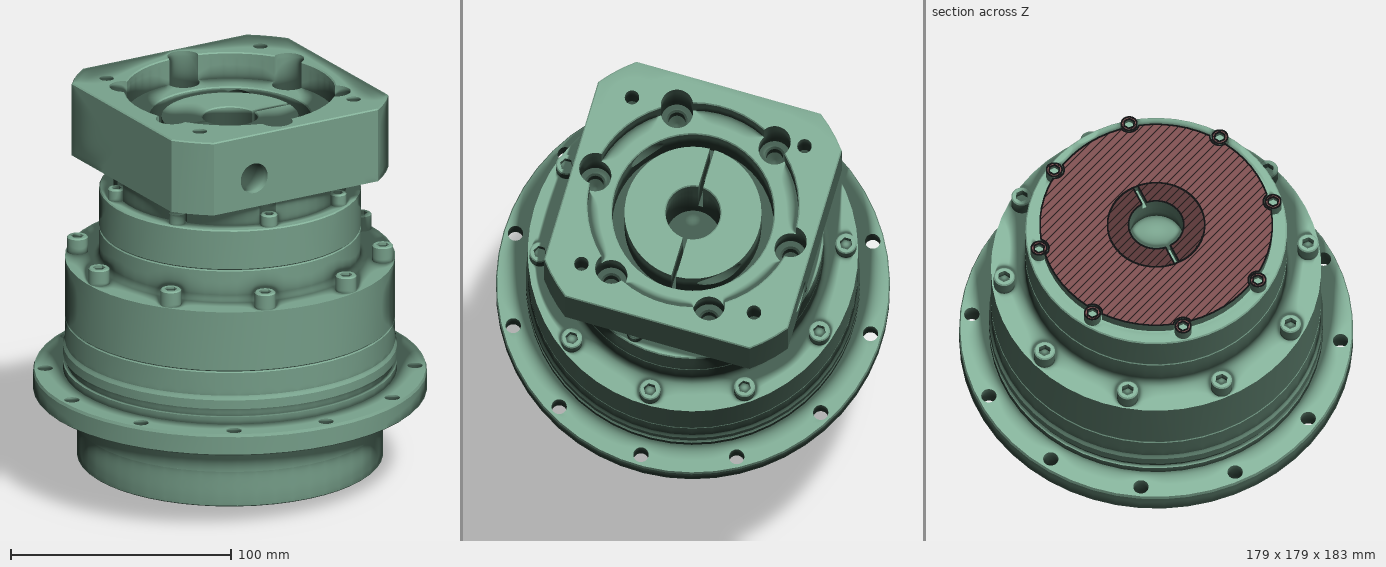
import cadquery as cq
import math


output_boss_top = 6.2
end_cap_top = 23.2
flange_bottom = 38.2
flange_top = 48.5
seal_groove_bottom = 52.0
seal_groove_top = 55.8
seal_ring_top = 60.0
lead_in_top = 62.0
main_joint_z = 73.5
main_body_top = 102.3
stage_joint_z = 117.0
stage_top = 136.2
neck_top = 146.5
plate_bottom = 148.0
hub_top = 169.8
pocket_floor = 170.4
overall_height = 183.0

output_boss_radius = 50.1
lower_body_radius = 69.9
end_cap_radius = 69.5
flange_radius = 89.5
seal_ring_radius = 76.0
seal_groove_radius = 74.3
main_body_radius = 75.0
stage_radius = 59.5
stage_fillet = 2.5
neck_radius = 52.9
edge_chamfer = 0.5
flange_chamfer_height = 1.3

flange_hole_count = 12
flange_hole_circle = 84.0
flange_hole_radius = 3.5

main_screw_count = 10
main_screw_circle = 69.5
main_screw_start = 90.0
main_screw_radius = 4.8
main_screw_height = 7.5
stage_screw_count = 8
stage_screw_circle = 54.5
stage_screw_start = -12.3
stage_screw_radius = 3.8
stage_screw_height = 5.5
neck_notch_radius = 4.4
hex_ratio = 0.54
hex_depth_ratio = 0.5

plate_side = 115.3
plate_corner_radius = 72.3
pocket_radius = 48.0
plate_bore_radius = 36.8
bolt_bore_count = 6
bolt_bore_circle = 47.5
bolt_bore_start = 55.1
bolt_bore_radius = 7.3
bolt_bore_floor = 157.4
bolt_hole_radius = 3.8
bolt_hole_mouth_radius = 4.8
bolt_hole_depth = 6.4
motor_hole_spacing = 81.6
motor_hole_radius = 3.3
motor_hole_depth = 18.3
drill_point_angle = 118.0

hub_radius = 31.1
sleeve_radius = 22.0
sleeve_bottom = 128.1
shaft_bore_radius = 12.5
slit_width = 2.2
slit_floor = 137.2

access_offset = 22.1
access_z = 162.0
access_radius = 7.1
access_floor_x = 9.2
clamp_hole_radius = 3.3
clamp_hole_mouth_radius = 4.5
clamp_hole_depth = 5.5


def ring_points(count, circle_radius, start_angle):
    """Points evenly spaced on a circle about the axis."""
    angles = [math.radians(start_angle + 360.0 * i / count) for i in range(count)]
    return [(circle_radius * math.cos(a), circle_radius * math.sin(a)) for a in angles]


def post(radius, bottom, top, points=((0, 0),)):
    """Vertical cylinders between two heights."""
    base = cq.Workplane("XY").workplane(offset=bottom)
    return base.pushPoints(points).circle(radius).extrude(top - bottom)


def rim_chamfer(radius, rim_z):
    """Cone that chamfers the upper rim of a bore on the axis."""
    base = cq.Vector(0, 0, rim_z - edge_chamfer)
    return cq.Workplane(cq.Solid.makeCone(radius, radius + edge_chamfer, edge_chamfer, base))


def drilled_hole(radius, depth, mouth_radius):
    """Blind drill shape going down from the origin, with a countersunk mouth and a conical point."""
    point_length = radius / math.tan(math.radians(drill_point_angle / 2))
    countersink = mouth_radius - radius
    profile = cq.Workplane("XZ").moveTo(0, 0).lineTo(mouth_radius, 0)
    if countersink > 0:
        profile = profile.lineTo(radius, -countersink)
    profile = profile.lineTo(radius, -depth).lineTo(0, -depth - point_length).close()
    return profile.revolve(360, (0, 0, 0), (0, 1, 0))


def cap_screw_head(radius, height):
    """Cylindrical head standing on the origin, with a chamfered rim and a hexagon socket."""
    hex_across_corners = 2 * radius * hex_ratio / math.cos(math.radians(30))
    head = cq.Workplane("XY").circle(radius).extrude(height).faces(">Z").chamfer(edge_chamfer)
    return head.faces(">Z").workplane().polygon(6, hex_across_corners).cutBlind(-height * hex_depth_ratio)


def housing_blank():
    """Turned outline of the housing, with V-grooves where its sections are joined."""
    c = edge_chamfer
    outline = (
        cq.Workplane("XZ")
        .moveTo(0, 0)
        .lineTo(output_boss_radius - c, 0)
        .lineTo(output_boss_radius, c)
        .lineTo(output_boss_radius, output_boss_top)
        .lineTo(end_cap_radius - c, output_boss_top)
        .lineTo(end_cap_radius, output_boss_top + c)
        .lineTo(end_cap_radius, end_cap_top)
        .lineTo(lower_body_radius, end_cap_top)
        .lineTo(lower_body_radius, flange_bottom)
        .lineTo(flange_radius - c, flange_bottom)
        .lineTo(flange_radius, flange_bottom + c)
        .lineTo(flange_radius, flange_top - flange_chamfer_height)
        .lineTo(flange_radius - c, flange_top)
        .lineTo(seal_ring_radius, flange_top)
        .lineTo(seal_ring_radius, seal_groove_bottom)
        .lineTo(seal_groove_radius, seal_groove_bottom)
        .lineTo(seal_groove_radius, seal_groove_top)
        .lineTo(seal_ring_radius, seal_groove_top)
        .lineTo(seal_ring_radius, seal_ring_top)
        .lineTo(main_body_radius, lead_in_top)
        .lineTo(main_body_radius, main_joint_z - c)
        .lineTo(main_body_radius - c, main_joint_z)
        .lineTo(main_body_radius, main_joint_z + c)
        .lineTo(main_body_radius, main_body_top)
        .lineTo(stage_radius + stage_fillet, main_body_top)
        .radiusArc((stage_radius, main_body_top + stage_fillet), stage_fillet)
        .lineTo(stage_radius, stage_joint_z - c)
        .lineTo(stage_radius - c, stage_joint_z)
        .lineTo(stage_radius, stage_joint_z + c)
        .lineTo(stage_radius, stage_top - c)
        .lineTo(stage_radius - c, stage_top)
        .lineTo(neck_radius, stage_top)
        .lineTo(neck_radius, neck_top)
        .lineTo(0, neck_top)
        .close()
    )
    return outline.revolve(360, (0, 0, 0), (0, 1, 0))


def make_housing():
    """Gear housing with its output boss, mounting flange, screw heads and hub socket."""
    main_points = ring_points(main_screw_count, main_screw_circle, main_screw_start)
    stage_points = ring_points(stage_screw_count, stage_screw_circle, stage_screw_start)
    flange_points = ring_points(flange_hole_count, flange_hole_circle, 0)

    body = housing_blank()
    body = body.cut(post(flange_hole_radius, flange_bottom, flange_top, flange_points))
    body = body.cut(post(neck_notch_radius, stage_top, neck_top, stage_points))
    body = body.cut(post(sleeve_radius, sleeve_bottom, neck_top))

    main_head = cap_screw_head(main_screw_radius, main_screw_height)
    for x, y in main_points:
        body = body.union(main_head.translate((x, y, main_body_top)))
    stage_head = cap_screw_head(stage_screw_radius, stage_screw_height)
    for x, y in stage_points:
        body = body.union(stage_head.translate((x, y, stage_top)))
    return body


def clamp_access():
    """Side bores that reach the clamp sockets, one from -X and its twin from +X."""
    length = plate_side / 2 - access_floor_x
    bore = (
        cq.Workplane("YZ")
        .workplane(offset=-plate_side / 2)
        .center(access_offset, access_z)
        .circle(access_radius)
        .extrude(length)
    )
    return bore.union(bore.rotate((0, 0, 0), (0, 0, 1), 180))


def make_adapter():
    """Square motor adapter plate with rounded corners, standing on a round spigot."""
    plate = (
        cq.Workplane("XY")
        .workplane(offset=plate_bottom)
        .rect(plate_side, plate_side)
        .extrude(overall_height - plate_bottom)
        .intersect(post(plate_corner_radius, plate_bottom, overall_height))
        .faces(">Z")
        .chamfer(edge_chamfer)
    )
    plate = plate.union(post(neck_radius, neck_top, plate_bottom))
    plate = plate.cut(post(pocket_radius, pocket_floor, overall_height))
    plate = plate.cut(post(plate_bore_radius, neck_top, pocket_floor))
    plate = plate.cut(rim_chamfer(pocket_radius, overall_height))
    plate = plate.cut(rim_chamfer(plate_bore_radius, pocket_floor))

    bolt_points = ring_points(bolt_bore_count, bolt_bore_circle, bolt_bore_start)
    plate = plate.cut(post(bolt_bore_radius, bolt_bore_floor, overall_height, bolt_points))
    bolt_hole = drilled_hole(bolt_hole_radius, bolt_hole_depth, bolt_hole_mouth_radius)
    for x, y in bolt_points:
        plate = plate.cut(bolt_hole.translate((x, y, bolt_bore_floor)))

    motor_hole = drilled_hole(motor_hole_radius, motor_hole_depth, motor_hole_radius)
    for x in (-motor_hole_spacing / 2, motor_hole_spacing / 2):
        for y in (-motor_hole_spacing / 2, motor_hole_spacing / 2):
            plate = plate.cut(motor_hole.translate((x, y, overall_height)))
    return plate.cut(clamp_access())


def clamp_socket(side):
    """Flat-bottomed socket with a countersunk mouth in the floor of one access bore."""
    mouth = cq.Vector(side * access_floor_x, -side * access_offset, access_z)
    inward = cq.Vector(-side, 0, 0)
    socket = cq.Solid.makeCylinder(clamp_hole_radius, clamp_hole_depth, mouth, inward)
    countersink_depth = clamp_hole_mouth_radius - clamp_hole_radius
    countersink = cq.Solid.makeCone(
        clamp_hole_mouth_radius, clamp_hole_radius, countersink_depth, mouth, inward
    )
    return cq.Workplane(socket).union(cq.Workplane(countersink))


def make_hub():
    """Slit clamping hub whose sleeve sits in the housing socket."""
    hub = post(hub_radius, neck_top, hub_top).union(post(sleeve_radius, sleeve_bottom, neck_top))
    hub = hub.cut(post(shaft_bore_radius, sleeve_bottom, hub_top))
    hub = hub.cut(rim_chamfer(shaft_bore_radius, hub_top))
    slit = (
        cq.Workplane("XY")
        .workplane(offset=slit_floor)
        .rect(slit_width, 2 * hub_radius)
        .extrude(hub_top - slit_floor)
    )
    hub = hub.cut(slit)
    hub = hub.cut(clamp_access())
    for side in (-1, 1):
        hub = hub.cut(clamp_socket(side))
    return hub


housing = make_housing()
adapter = make_adapter()
hub = make_hub()

result = cq.Compound.makeCompound([
    *housing.solids().vals(),
    *adapter.solids().vals(),
    *hub.solids().vals(),
])